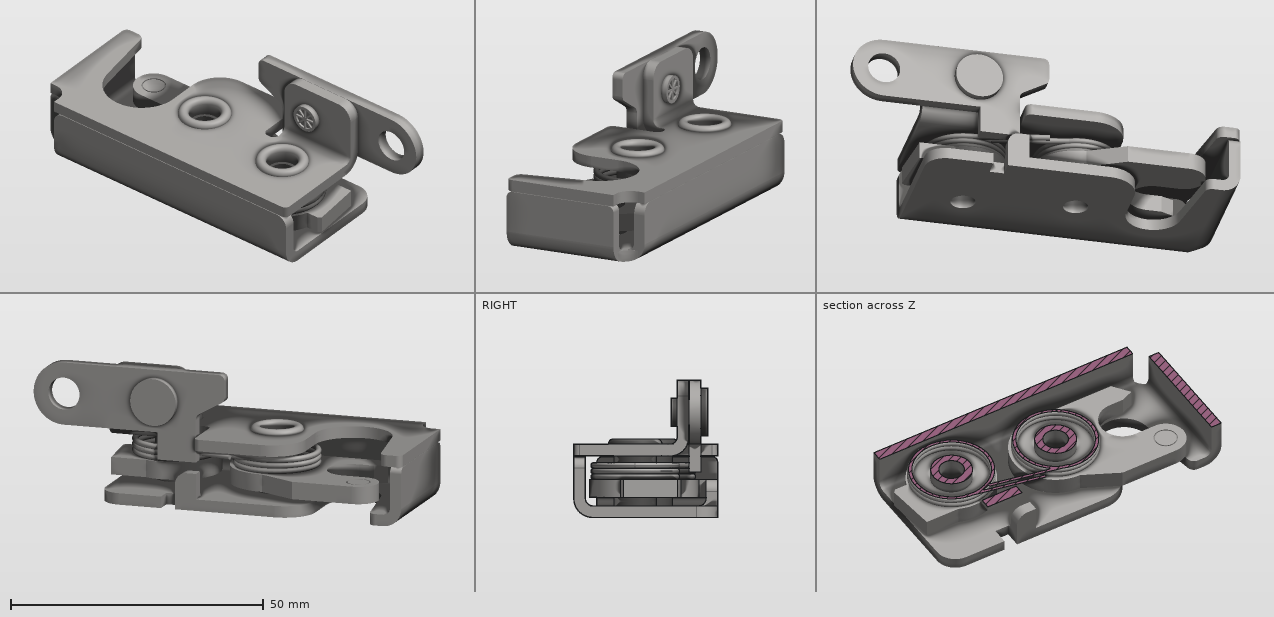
import cadquery as cq
import math

overall_length = 78.17
depth = 28.58
height = 27.25
body_length = 63.4
sheet = 2.34
eps = 0.05
margin = 1.0
cos_45 = math.sqrt(0.5)

wall_top = 12.1
bend_outer = 3.8
bend_inner = bend_outer - sheet
side_wall_corner = 1.2
front_wall_corner = 2.3
base_rear_corner = 4.2
corner_notch = 4.57
corner_notch_radius = 3.05

slot_x, slot_y = 14.6, 15.4
slot_slant = math.radians(9.3)
cover_slot_radius = 7.85
base_slot_radius = 5.6
cover_mouth_radius = 7.0
base_mouth_radius = 6.35
slot_left_corner = 1.5

lever_radius = 6.35
lever_height = 2 * lever_radius
lever_hole_d = 6.53
lever_left = 38.2
lever_foot_left = 44.2
lever_foot_width = 8.0
lever_foot_bottom = 9.0
lever_step_top = 7.35
lever_step_bottom = 4.0
lever_corner = 1.2
lever_step_fillet = 1.5

cover_top = height - lever_height
cover_bottom = cover_top - sheet
cover_corner = 1.2
tab_front = 20.5
tab_back = tab_front + sheet
lever_clearance = 0.05
lever_front = tab_back + lever_clearance
lever_back = lever_front + sheet
tab_bend_inner = 1.4
tab_bend_outer = tab_bend_inner + sheet
tab_left = 46.65
tab_corner = 3.1
relief_left = 43.6
relief_front = 17.4
relief_end_radius = 1.3

bushing_places = [(30.5, 15.4), (52.7, 12.2)]
bushing_d = 8.42
bushing_flange_d = 10.65
bushing_bore_d = 6.35
bushing_bead_radius = (bushing_flange_d - bushing_bore_d) / 4
bushing_bore_depth = sheet
bushing_thread_d = 5.0

catch_bottom = 4.0
catch_top = 7.55
throat_radius = 4.85
throat_x, throat_y = 14.95, 15.45
finger_x = 10.4
finger_radius = (depth - throat_y - throat_radius) / 2
finger_y = depth - finger_radius
catch_shoulder_x = 22.9
catch_hub_radius = 9.4
jaw_front = 6.0
jaw_tip_x = 9.3
jaw_tip_y = 9.5
jaw_straight_x = 11.9
pin_ring_outer_d = 4.83
pin_ring_inner_d = 4.32
pin_ring_depth = 0.2
trigger_hub_radius = 9.1
trigger_rear_x, trigger_rear_y = 63.5, 20.6
trigger_tip_x, trigger_tip_y = 64.6, 9.9
trigger_tip_chamfer = 0.6

wire_d = 1.17
coil_pitch = 1.12
coil_count = 3
coil_outer_radius = 8.8
leg_slope = math.radians(11.5)
leg_length = 17.0
leg_inset = 0.15

rear_notch_left, rear_notch_right = 47.4, 50.35
rear_notch_depth = 3.4
lug_left = 43.0
lug_bend_radius = 1.4
lug_corner = 2.4
lug_top = 7.55

rivet_x = 52.7
rivet_z = cover_top + lever_radius
rivet_head_d = 9.53
rivet_head_height = 1.4
rivet_end_d = 5.6
rivet_end_height = 1.2
rivet_shank_d = 4.98
rivet_dish_d = 4.32
rivet_dish_depth = 0.4
rivet_pip_d = 1.02
rivet_rib_count = 8
rivet_rib_width = 0.35


def block(x0, x1, y0, y1, z0, z1):
    """Box between two limits on each axis."""
    return cq.Workplane("XY").box(x1 - x0, y1 - y0, z1 - z0, centered=False).translate((x0, y0, z0))


def disc(x, y, diameter, bottom, top):
    """Upright cylinder between two heights."""
    return cq.Workplane("XY").workplane(offset=bottom).center(x, y).circle(diameter / 2).extrude(top - bottom)


def cross_disc(diameter, front, back):
    """Disc on the lever rivet axis, which runs along Y."""
    plane = cq.Workplane("XZ", origin=(rivet_x, front, rivet_z))
    return plane.circle(diameter / 2).extrude(front - back)


def corner_cutter(top):
    """Cutter for the front-left notch, with its inner corner rounded."""
    notch = block(-margin, corner_notch, -margin, corner_notch, -margin, top + margin)
    corner = cq.selectors.NearestToPointSelector((corner_notch, corner_notch, top / 2))
    return notch.edges("|Z").edges(corner).fillet(corner_notch_radius)


def cut_striker_slot(plate, radius, mouth_radius, bottom, top):
    """Open slot: slanted left edge, round end, flared right mouth."""
    lean_x, lean_y = math.cos(slot_slant), math.sin(slot_slant)
    tangent = (slot_x - radius * lean_x, slot_y - radius * lean_y)
    mouth_left = tangent[0] - (depth - tangent[1]) * math.tan(slot_slant)
    end_angle = (slot_slant - math.pi / 2) / 2
    slot_end = (slot_x + radius * math.sin(end_angle), slot_y - radius * math.cos(end_angle))
    right = slot_x + radius
    mouth_center = (right + mouth_radius, depth - mouth_radius)
    diagonal = mouth_radius * cos_45
    cutter = (
        cq.Workplane("XY").workplane(offset=bottom - margin)
        .moveTo(mouth_left, depth).lineTo(*tangent)
        .threePointArc(slot_end, (right, slot_y))
        .lineTo(right, mouth_center[1])
        .threePointArc((mouth_center[0] - diagonal, mouth_center[1] + diagonal), (mouth_center[0], depth))
        .close().extrude(top - bottom + 2 * margin)
    )
    left_corner = cq.selectors.NearestToPointSelector((mouth_left, depth, (bottom + top) / 2))
    return plate.cut(cutter).edges("|Z").edges(left_corner).fillet(slot_left_corner)


def top_edges(x0, x1, y0, y1):
    """Selector for the edges along the top of a tray wall."""
    low = (x0 - margin, y0 - margin, wall_top - margin)
    high = (x1 + margin, y1 + margin, wall_top + margin)
    return cq.selectors.BoxSelector(low, high)


def make_base():
    """Bent tray: floor, front wall and left wall, open at the right and rear."""
    outer = block(0, body_length, 0, depth, 0, wall_top)
    outer = outer.edges("<Z").edges("<X or <Y").fillet(bend_outer)
    inner = block(sheet, body_length + margin, sheet, depth + margin, sheet, wall_top + margin)
    inner = inner.edges("<Z").edges("<X or <Y").fillet(bend_inner)
    tray = outer.cut(inner).cut(corner_cutter(wall_top))
    tray = tray.cut(block(0, corner_notch, 0, corner_notch, sheet, wall_top))
    tray = cut_striker_slot(tray, base_slot_radius, base_mouth_radius, 0, sheet)
    rear_corner = cq.selectors.NearestToPointSelector((body_length, depth, sheet / 2))
    tray = tray.edges("|Z").edges(rear_corner).fillet(base_rear_corner)
    front_wall_ends = top_edges(corner_notch, body_length, 0, sheet)
    tray = tray.edges(front_wall_ends).edges("|Y").fillet(front_wall_corner)
    side_wall_ends = top_edges(0, sheet, corner_notch, depth)
    tray = tray.edges(side_wall_ends).edges("|X").fillet(side_wall_corner)
    notch_front = depth - rear_notch_depth
    notch = block(rear_notch_left, rear_notch_right, notch_front, depth + margin, -margin, sheet + margin)
    return tray.cut(notch)


def make_stop_lug():
    """Upright ear at the rear of the base with an inner bend at its foot."""
    ear_front = depth - sheet
    foot_front = ear_front - lug_bend_radius
    foot_top = sheet + lug_bend_radius
    lug = block(lug_left, rear_notch_left, ear_front, depth, 0, lug_top)
    lug = lug.edges("|Y").edges(">X and >Z").fillet(lug_corner)
    foot = block(lug_left, rear_notch_left, foot_front, ear_front, 0, foot_top)
    hollow = (
        cq.Workplane("YZ", origin=(lug_left, foot_front, foot_top))
        .circle(lug_bend_radius).extrude(rear_notch_left - lug_left)
    )
    return lug.union(foot.cut(hollow))


def make_cover():
    """Flat plate over the tray, slotted and relieved, carrying the lever tab."""
    plate = block(0, body_length, 0, depth, cover_bottom, cover_top)
    plate = plate.cut(corner_cutter(cover_top))
    plate = plate.edges("|Z").edges("(<X and >Y) or (>X and <Y)").fillet(cover_corner)
    plate = cut_striker_slot(plate, cover_slot_radius, cover_mouth_radius, cover_bottom, cover_top)
    bend_start = tab_front - tab_bend_inner
    plate = plate.cut(block(tab_left, body_length + margin, bend_start, depth + margin, 0, height))
    relief = block(relief_left, tab_left, relief_front, depth + margin, 0, height)
    relief = relief.edges("|Z and <Y").fillet(relief_end_radius)
    plate = plate.cut(relief)
    rear = cq.selectors.NearestToPointSelector((relief_left, depth, cover_top))
    plate = plate.edges("|Z").edges(rear).fillet(cover_corner)
    return plate.union(make_tab(bend_start))


def make_tab(bend_start):
    """Upright ear bent from the rear of the cover."""
    center_z = cover_top + tab_bend_inner
    inner_diagonal = tab_bend_inner * cos_45
    outer_diagonal = tab_bend_outer * cos_45
    tab = (
        cq.Workplane("YZ", origin=(tab_left, 0, 0))
        .moveTo(bend_start - eps, cover_bottom).lineTo(bend_start, cover_bottom)
        .threePointArc((bend_start + outer_diagonal, center_z - outer_diagonal), (tab_back, center_z))
        .lineTo(tab_back, height).lineTo(tab_front, height).lineTo(tab_front, center_z)
        .threePointArc((bend_start + inner_diagonal, center_z - inner_diagonal), (bend_start, cover_top))
        .lineTo(bend_start - eps, cover_top).close()
        .extrude(body_length - tab_left)
    )
    return tab.edges("|Y and >Z").fillet(tab_corner)


def make_lever():
    """Flat lever with an eye at its right end and a foot reaching into the body."""
    eye_x = overall_length - lever_radius
    front = cq.Workplane("XZ", origin=(0, lever_front, 0))
    blade = (
        front.moveTo(lever_left, height).lineTo(eye_x, height)
        .threePointArc((overall_length, rivet_z), (eye_x, cover_top))
        .lineTo(lever_foot_left + lever_foot_width, cover_top)
        .lineTo(lever_foot_left + lever_foot_width, lever_foot_bottom)
        .lineTo(lever_foot_left, lever_foot_bottom)
        .lineTo(lever_foot_left, cover_top + lever_step_bottom)
        .lineTo(lever_left, cover_top + lever_step_top)
        .close().extrude(-sheet)
    )
    foot_corner = cq.selectors.NearestToPointSelector(
        (lever_foot_left, lever_front + sheet / 2, cover_top + lever_step_bottom)
    )
    blade = blade.edges("|Y").edges(foot_corner).fillet(lever_step_fillet)
    blade = blade.edges("|Y and <X").fillet(lever_corner)
    eye = front.center(eye_x, rivet_z).circle(lever_hole_d / 2).extrude(-sheet)
    return blade.cut(eye)


def make_rivet():
    """Headed pivot pin whose dished front end has radial ribs."""
    end_face = tab_front - rivet_end_height
    head = cross_disc(rivet_head_d, lever_back - eps, lever_back + rivet_head_height)
    end = cross_disc(rivet_end_d, end_face, tab_front + eps)
    dish = cross_disc(rivet_dish_d, end_face, end_face + rivet_dish_depth)
    dish = dish.cut(cross_disc(rivet_pip_d, end_face, end_face + rivet_dish_depth))
    for index in range(rivet_rib_count):
        rib = cq.Workplane("XY").box(
            rivet_dish_d, rivet_dish_depth, rivet_rib_width, centered=(False, False, True)
        )
        rib = rib.rotate((0, 0, 0), (0, 1, 0), index * 360 / rivet_rib_count)
        dish = dish.cut(rib.translate((rivet_x, end_face, rivet_z)))
    shank = cross_disc(rivet_shank_d, tab_front, lever_back)
    return head.union(shank).union(end.cut(dish))


def make_catch():
    """Claw that turns on the left bushing and closes the striker slot."""
    hub_x, hub_y = bushing_places[0]
    hub = disc(hub_x, hub_y, 2 * catch_hub_radius, catch_bottom, catch_top)
    claw = (
        cq.Workplane("XY").workplane(offset=catch_bottom)
        .moveTo(catch_shoulder_x, depth).lineTo(finger_x, depth)
        .threePointArc((finger_x - finger_radius, finger_y), (finger_x, depth - 2 * finger_radius))
        .lineTo(throat_x, throat_y + throat_radius)
        .threePointArc((throat_x + throat_radius, throat_y), (throat_x, throat_y - throat_radius))
        .lineTo(jaw_straight_x, throat_y - throat_radius)
        .lineTo(jaw_tip_x, jaw_tip_y).lineTo(jaw_straight_x, jaw_front).lineTo(hub_x, jaw_front)
        .lineTo(hub_x, hub_y + catch_hub_radius)
        .close().extrude(catch_top - catch_bottom)
    )
    ring_floor = catch_top - pin_ring_depth
    ring = disc(finger_x, finger_y, pin_ring_outer_d, ring_floor, catch_top)
    ring = ring.cut(disc(finger_x, finger_y, pin_ring_inner_d, ring_floor, catch_top))
    return claw.union(hub).cut(ring)


def make_trigger():
    """Trigger on the right bushing, projecting past the right end of the body."""
    hub_x, hub_y = bushing_places[1]
    hub = disc(hub_x, hub_y, 2 * trigger_hub_radius, catch_bottom, catch_top)
    outline = [
        (hub_x, trigger_tip_y - trigger_tip_chamfer),
        (trigger_tip_x - trigger_tip_chamfer, trigger_tip_y - trigger_tip_chamfer),
        (trigger_tip_x, trigger_tip_y),
        (trigger_rear_x, trigger_rear_y),
        (hub_x, trigger_rear_y),
    ]
    arm = cq.Workplane("XY").workplane(offset=catch_bottom).polyline(outline).close()
    arm = arm.extrude(catch_top - catch_bottom)
    return hub.union(arm)


def make_spring(place, leg_direction):
    """Stacked coils round a bushing with one straight leg leaving at a tangent."""
    x, y = place
    coil_radius = coil_outer_radius - wire_d / 2
    first_z = catch_top + wire_d / 2 - eps
    coil = cq.Workplane("XY").add(cq.Solid.makeTorus(coil_radius, wire_d / 2))
    spring = coil.translate((x, y, first_z))
    for turn in range(1, coil_count):
        spring = spring.union(coil.translate((x, y, first_z + turn * coil_pitch)))
    leg_z = first_z + (coil_count - 1) * coil_pitch
    leg_radius = coil_radius - leg_inset
    start = cq.Vector(x + leg_radius * math.sin(leg_slope), y + leg_radius * math.cos(leg_slope), leg_z)
    along = cq.Vector(math.cos(leg_slope), -math.sin(leg_slope), 0) * leg_direction
    leg = cq.Solid.makeCylinder(wire_d / 2, leg_length, start, along)
    return spring.union(cq.Workplane("XY").add(leg))


def make_bushing(x, y):
    """Stepped bushing whose rim is a half-round bead standing on the cover."""
    bead_x = (bushing_bore_d + bushing_flange_d) / 4
    barrel_radius = bushing_d / 2
    bore_radius = bushing_bore_d / 2
    thread_radius = bushing_thread_d / 2
    step_z = cover_top - bushing_bore_depth
    profile = (
        cq.Workplane("XZ")
        .moveTo(thread_radius, 0).lineTo(barrel_radius, 0)
        .lineTo(barrel_radius, cover_top - eps).lineTo(bushing_flange_d / 2, cover_top - eps)
        .lineTo(bushing_flange_d / 2, cover_top)
        .threePointArc((bead_x, cover_top + bushing_bead_radius), (bore_radius, cover_top))
        .lineTo(bore_radius, step_z).lineTo(thread_radius, step_z)
        .close()
    )
    return profile.revolve(360, (0, 0, 0), (0, 1, 0)).translate((x, y, 0))


def make_latch():
    """All parts fused, with each bushing set into a clean hole."""
    latch = make_base().union(make_stop_lug()).union(make_cover())
    latch = latch.union(make_catch()).union(make_trigger())
    latch = latch.union(make_spring(bushing_places[0], 1)).union(make_spring(bushing_places[1], -1))
    for x, y in bushing_places:
        latch = latch.cut(disc(x, y, bushing_d, 0, cover_top)).union(make_bushing(x, y))
    return latch.union(make_lever()).union(make_rivet())


result = make_latch()